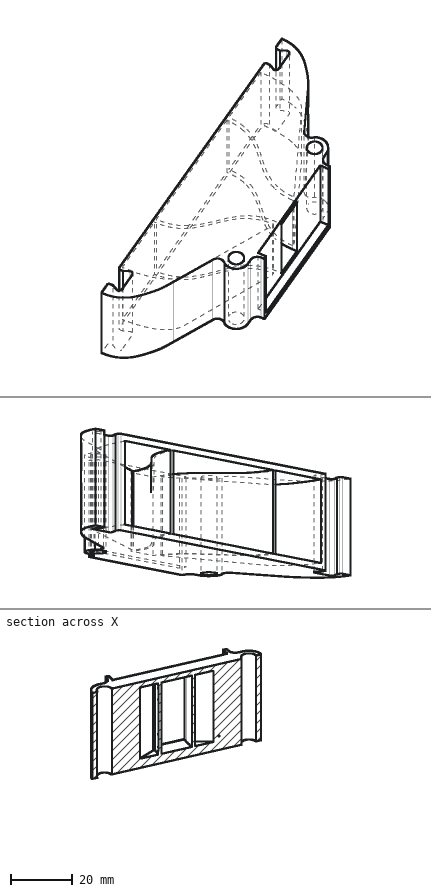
import cadquery as cq
import math

length = 120.0
depth = 39.5
height = 32.0
plate = 2.2
ceiling = height - plate

half_length = length / 2
flank_start = (18.2, 44.6)
flank_end = (25.0, 30.5)
flank_direction = (flank_end[0] - flank_start[0], flank_end[1] - flank_start[1])
shoulder_points = [(4.9, 59.3), (9.4, 56.9), (12.6, 53.6), (15.7, 49.5), flank_start]

boss_x = 31.3
boss_y = 26.0
boss_radius = 4.4
hole_diameter = 5.2
valley_bottom = (27.5, 28.9)
valley_end_offset = 2.2
valley_end = (boss_x - valley_end_offset, boss_y + math.sqrt(boss_radius**2 - valley_end_offset**2))
ear_y = 21.8
ear_fillet = 2.5
ear_width = 1.2
recess_x = 36.5

slot_y = 52.1
slot_depth = 5.2
slot_half_width = 5.0
lip_half_gap = 3.4
lip_length = 1.8
slot_rounding = 1.0
lip_rounding = 0.7

mouth_half_width = 23.4
throat_half_width = 5.2
funnel_length = 34.8
funnel_wall = 1.3
throat_floor = 3.8
pocket_outer_y = 46.1
pocket_shoulder = (8.2, 45.4)
pocket_corner = (15.4, 43.0)
pocket_flank_start = (19.2, 38.9)
pocket_tip_y = 7.2


def mirrored_pair(solid):
    return solid.union(solid.mirror("XZ"))


def make_body():
    boss_side_x = boss_x + boss_radius
    diagonal = boss_radius * math.sqrt(0.5)
    half = (
        cq.Workplane("XY")
        .lineTo(0, half_length)
        .spline(shoulder_points, tangents=[(1, 0), flank_direction], includeCurrent=True)
        .lineTo(*flank_end)
        .threePointArc(valley_bottom, valley_end)
        .threePointArc((boss_x + diagonal, boss_y + diagonal), (boss_side_x, boss_y))
        .lineTo(boss_side_x, ear_y + ear_fillet)
        .radiusArc((boss_side_x + ear_fillet, ear_y), -ear_fillet)
        .lineTo(depth, ear_y)
        .lineTo(depth, 0)
        .close()
        .extrude(height)
    )
    return mirrored_pair(half)


def make_rail_slots():
    half_outline = [
        (0, lip_half_gap),
        (lip_length, lip_half_gap),
        (slot_depth, slot_half_width),
    ]
    points = [(x, slot_y + y) for x, y in half_outline]
    points += [(x, slot_y - y) for x, y in reversed(half_outline)]
    slot = cq.Workplane("XY").polyline(points).close().extrude(height)
    slot = slot.edges("|Z").edges(">X").fillet(slot_rounding)
    return mirrored_pair(slot)


def round_lips(body):
    for side in (1, -1):
        for edge_y in (slot_y - lip_half_gap, slot_y + lip_half_gap):
            edge = cq.selectors.NearestToPointSelector((0, side * edge_y, height / 2))
            body = body.edges("|Z").edges(edge).fillet(lip_rounding)
    return body


def make_funnel(extra):
    mouth = mouth_half_width + extra
    throat = throat_half_width + extra
    half = (
        cq.Workplane("XY")
        .lineTo(0, mouth)
        .spline([(funnel_length, throat)], tangents=[(1, 0), (1, 0)], includeCurrent=True)
        .lineTo(depth, throat)
        .lineTo(depth, 0)
        .close()
        .extrude(ceiling)
    )
    return mirrored_pair(half)


def make_side_pockets():
    start_x, start_y = pocket_flank_start
    tip_x = start_x + (pocket_tip_y - start_y) * flank_direction[0] / flank_direction[1]
    outer = (
        cq.Workplane("XY")
        .lineTo(0, pocket_outer_y)
        .spline(
            [pocket_shoulder, pocket_corner, pocket_flank_start],
            tangents=[(1, 0), flank_direction],
            includeCurrent=True,
        )
        .lineTo(tip_x, pocket_tip_y)
        .lineTo(tip_x, 0)
        .close()
        .extrude(ceiling)
    )
    return mirrored_pair(outer).cut(make_funnel(funnel_wall))


def make_sloping_floor():
    return (
        cq.Workplane("XZ")
        .polyline([(0, 0), (0, plate), (recess_x, throat_floor), (depth, throat_floor), (depth, 0)])
        .close()
        .extrude(half_length, both=True)
    )


def make_rear_recess():
    return cq.Workplane("XY").box(
        depth - recess_x, 2 * (ear_y - ear_width), height - plate, centered=(False, True, False)
    ).translate((recess_x, 0, plate))


def make_boss_holes():
    return (
        cq.Workplane("XY")
        .pushPoints([(boss_x, boss_y), (boss_x, -boss_y)])
        .circle(hole_diameter / 2)
        .extrude(height)
    )


cavities = make_funnel(0).union(make_side_pockets()).cut(make_sloping_floor())
body = round_lips(make_body().cut(make_rail_slots()))
result = body.cut(cavities).cut(make_rear_recess()).cut(make_boss_holes())